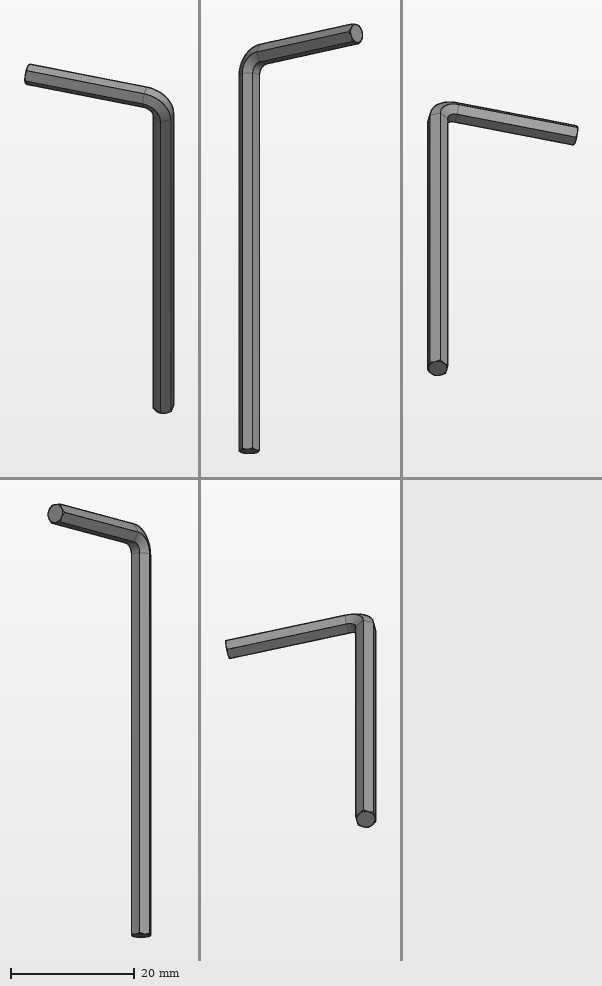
import cadquery as cq
import math

height = 67.5
reach = 24.5
across_flats = 3.0
bend_radius = 3.05
tip_bevel_depth = 0.2

across_corners = across_flats / math.cos(math.pi / 6)
half_flats = across_flats / 2
half_corners = across_corners / 2
shaft_x = reach - half_flats
arm_z = height - half_flats
bend_x = shaft_x - bend_radius
bend_z = arm_z - bend_radius


def bent_bar():
    """Hexagonal bar with its corners on +Y and -Y, swept along the L-shaped centre line."""
    bend_mid = (
        bend_x + bend_radius * math.cos(math.pi / 4),
        bend_z + bend_radius * math.sin(math.pi / 4),
    )
    centre_line = (
        cq.Workplane("XZ")
        .moveTo(shaft_x, 0)
        .lineTo(shaft_x, bend_z)
        .threePointArc(bend_mid, (bend_x, arm_z))
        .lineTo(0, arm_z)
    )
    hexagon = (
        cq.Workplane("XY")
        .center(shaft_x, 0)
        .transformed(rotate=(0, 0, 90))
        .polygon(6, across_corners)
    )
    return hexagon.sweep(centre_line)


def tip_bevel(tip, inward):
    """Ring that turns a conical bevel on a tip, narrowing it to the circle inside the flats."""
    plane = cq.Plane(origin=tip, xDir=(0, 1, 0), normal=inward)
    blank = cq.Workplane(plane).circle(half_corners).extrude(tip_bevel_depth)
    core = cq.Solid.makeCone(
        half_flats, half_corners, tip_bevel_depth, cq.Vector(*tip), cq.Vector(*inward)
    )
    return blank.cut(cq.Workplane(core))


result = (
    bent_bar()
    .cut(tip_bevel((shaft_x, 0, 0), (0, 0, 1)))
    .cut(tip_bevel((0, 0, arm_z), (1, 0, 0)))
)